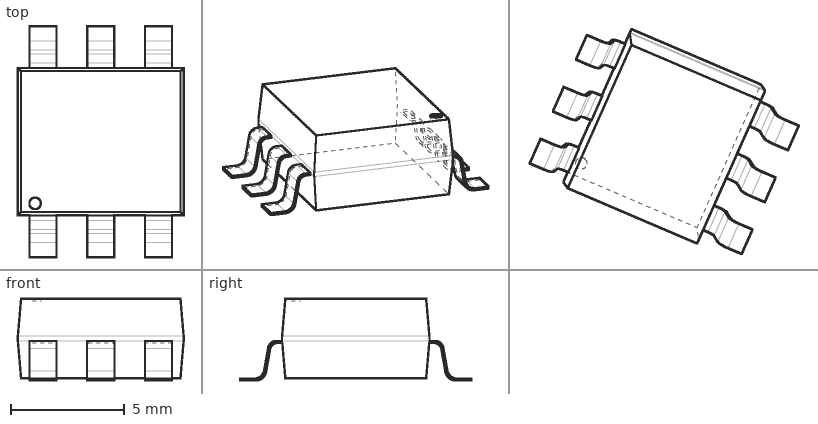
import cadquery as cq
import math

total_length = 10.16
total_height = 3.61
standoff = 0.1

body_width = 7.29
body_length = 6.48
draft_inset = 0.14
band_height = 0.2
half_height = (total_height - standoff - band_height) / 2
band_bottom = standoff + half_height
band_top = band_bottom + band_height

lead_count = 3
lead_pitch = 2.54
lead_width = 1.2
lead_thickness = 0.1
shoulder_end = 3.46
shoulder_embed = 0.3
upper_bend_radius = 0.35
lower_bend_radius = 0.45
bend_angle = math.radians(80)

mark_diameter = 0.51
mark_depth = 0.1
mark_x = -2.89
mark_y = -2.71


def drafted_half(face_z, direction):
    """Half of the body, tapering from the parting band up (1) or down (-1)."""
    return (
        cq.Workplane("XY", origin=(0, 0, face_z))
        .rect(body_width, body_length)
        .workplane(offset=direction * half_height)
        .rect(body_width - 2 * draft_inset, body_length - 2 * draft_inset)
        .loft(ruled=True)
    )


def make_body():
    band = (
        cq.Workplane("XY", origin=(0, 0, band_bottom))
        .rect(body_width, body_length)
        .extrude(band_height)
    )
    return band.union(drafted_half(band_top, 1)).union(drafted_half(band_bottom, -1))


def bend_offset(radius, angle):
    """Horizontal and vertical travel along a bend that starts or ends level."""
    return radius * math.sin(angle), radius * (1 - math.cos(angle))


def make_lead():
    """Gull-wing lead on the +Y side, centred on X = 0."""
    shoulder_z = band_bottom - lead_thickness / 2
    foot_z = lead_thickness / 2
    shoulder_start = body_length / 2 - shoulder_embed

    upper_run, upper_drop = bend_offset(upper_bend_radius, bend_angle)
    upper_mid_run, upper_mid_drop = bend_offset(upper_bend_radius, bend_angle / 2)
    lower_run, lower_drop = bend_offset(lower_bend_radius, bend_angle)
    lower_mid_run, lower_mid_drop = bend_offset(lower_bend_radius, bend_angle / 2)

    leg_top = (shoulder_end + upper_run, shoulder_z - upper_drop)
    leg_drop = leg_top[1] - foot_z - lower_drop
    leg_bottom = (leg_top[0] + leg_drop / math.tan(bend_angle), foot_z + lower_drop)
    foot_start = leg_bottom[0] + lower_run

    path = (
        cq.Workplane("YZ")
        .moveTo(shoulder_start, shoulder_z)
        .lineTo(shoulder_end, shoulder_z)
        .threePointArc((shoulder_end + upper_mid_run, shoulder_z - upper_mid_drop), leg_top)
        .lineTo(*leg_bottom)
        .threePointArc((foot_start - lower_mid_run, foot_z + lower_mid_drop), (foot_start, foot_z))
        .lineTo(total_length / 2, foot_z)
    )
    return (
        cq.Workplane("XZ", origin=(0, shoulder_start, shoulder_z))
        .rect(lead_width, lead_thickness)
        .sweep(path)
    )


def cut_pin_mark(body):
    mark = (
        cq.Workplane("XY", origin=(mark_x, mark_y, total_height - mark_depth))
        .circle(mark_diameter / 2)
        .extrude(mark_depth)
    )
    return body.cut(mark)


result = cut_pin_mark(make_body())
lead = make_lead()
opposite_lead = lead.mirror("XZ")
for index in range(lead_count):
    lead_x = (index - (lead_count - 1) / 2) * lead_pitch
    result = result.union(lead.translate((lead_x, 0, 0)))
    result = result.union(opposite_lead.translate((lead_x, 0, 0)))